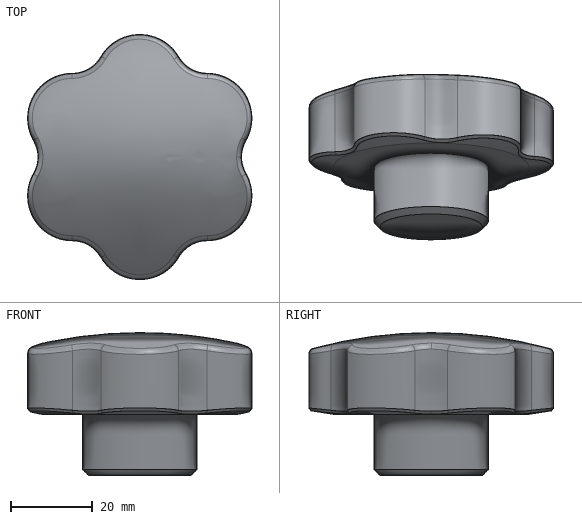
import cadquery as cq
import math

total_height = 35.0
hub_height = 15.0

hub_diameter = 28.0
hub_chamfer = 1.5

lobe_count = 6
head_radius = 30.0
lobe_radius = 11.0
grip_radius = 8.0
first_lobe_angle = 90.0

dome_radius = 110.0
flat_underside_radius = 24.0
underside_slope = 9.0

top_fillet = 1.5
bottom_chamfer = 0.6

lobe_center_radius = head_radius - lobe_radius
half_pitch = 180.0 / lobe_count
lobe_center_offset = lobe_center_radius * math.sin(math.radians(half_pitch))
lobe_center_reach = lobe_center_radius * math.cos(math.radians(half_pitch))
center_distance = lobe_radius + grip_radius
grip_center_radius = lobe_center_reach + math.sqrt(center_distance**2 - lobe_center_offset**2)
grip_floor_radius = grip_center_radius - grip_radius

blank_margin = 1.0
blank_radius = head_radius + blank_margin


def polar(radius, angle):
    """Point at a radius and an angle in degrees about the knob axis."""
    turn = math.radians(angle)
    return radius * math.cos(turn), radius * math.sin(turn)


def tangent_point(lobe_angle, grip_angle):
    """Point where a lobe arc runs smoothly into the neighbouring grip arc."""
    lobe_x, lobe_y = polar(lobe_center_radius, lobe_angle)
    grip_x, grip_y = polar(grip_center_radius, grip_angle)
    share = lobe_radius / center_distance
    return lobe_x + share * (grip_x - lobe_x), lobe_y + share * (grip_y - lobe_y)


def make_lobed_prism():
    """Straight prism with the lobed outline, spanning the height of the head."""
    outline = cq.Workplane("XY").workplane(offset=hub_height)
    outline = outline.moveTo(*tangent_point(first_lobe_angle, first_lobe_angle - half_pitch))
    for index in range(lobe_count):
        lobe_angle = first_lobe_angle + 2 * half_pitch * index
        grip_angle = lobe_angle + half_pitch
        next_lobe_angle = grip_angle + half_pitch
        lobe_end = tangent_point(lobe_angle, grip_angle)
        grip_end = tangent_point(next_lobe_angle, grip_angle)
        outline = outline.threePointArc(polar(head_radius, lobe_angle), lobe_end)
        outline = outline.threePointArc(polar(grip_floor_radius, grip_angle), grip_end)
    return outline.close().extrude(total_height - hub_height)


def dome_height(radius):
    """Height of the domed top at a distance from the knob axis."""
    return total_height - dome_radius + math.sqrt(dome_radius**2 - radius**2)


def make_head_blank():
    """Round blank with a domed top and an underside that rises towards its rim."""
    rim_rise = (blank_radius - flat_underside_radius) * math.tan(math.radians(underside_slope))
    return (
        cq.Workplane("XZ")
        .moveTo(0, hub_height)
        .lineTo(flat_underside_radius, hub_height)
        .lineTo(blank_radius, hub_height + rim_rise)
        .lineTo(blank_radius, dome_height(blank_radius))
        .threePointArc((blank_radius / 2, dome_height(blank_radius / 2)), (0, total_height))
        .close()
        .revolve(360, (0, 0, 0), (0, 1, 0))
    )


def make_head():
    """Lobed head with a rounded upper rim and a chamfered lower rim."""
    head = make_lobed_prism().intersect(make_head_blank())
    head = head.faces(">Z").edges().fillet(top_fillet)
    return head.faces("%CONE").edges("not(%CIRCLE or %LINE)").chamfer(bottom_chamfer)


def make_hub():
    """Cylindrical hub with a chamfered free end."""
    hub = cq.Workplane("XY").circle(hub_diameter / 2).extrude(hub_height)
    return hub.faces("<Z").edges().chamfer(hub_chamfer)


result = make_head().union(make_hub())